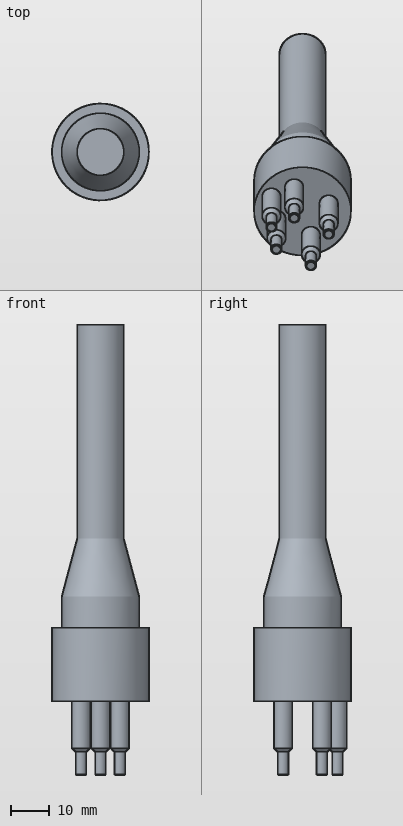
import cadquery as cq

shell_diameter = 25.0
shell_height = 19.0
collar_diameter = 20.0
collar_height = 8.0
cable_diameter = 12.0
taper_height = 15.0
cable_length = 55.0

sleeve_diameter = 4.8
sleeve_length = 13.0
contact_diameter = 2.8
sleeve_chamfer = (sleeve_diameter - contact_diameter) / 2
pin_length = 19.0
contact_chamfer = 0.3

pin_pitch = 10.0
index_pin_offset = 9.0


def make_body():
    """Shell, collar, tapered strain relief and cable as one revolved profile."""
    collar_bottom = shell_height
    taper_bottom = collar_bottom + collar_height
    cable_bottom = taper_bottom + taper_height
    cable_top = cable_bottom + cable_length
    return (
        cq.Workplane("XZ")
        .moveTo(0, 0)
        .lineTo(shell_diameter / 2, 0)
        .lineTo(shell_diameter / 2, collar_bottom)
        .lineTo(collar_diameter / 2, collar_bottom)
        .lineTo(collar_diameter / 2, taper_bottom)
        .lineTo(cable_diameter / 2, cable_bottom)
        .lineTo(cable_diameter / 2, cable_top)
        .lineTo(0, cable_top)
        .close()
        .revolve(360, (0, 0, 0), (0, 1, 0))
    )


def make_pin(x, y):
    """Insulating sleeve that tapers at 45 degrees to a thinner contact with a chamfered tip."""
    sleeve_radius = sleeve_diameter / 2
    contact_radius = contact_diameter / 2
    return (
        cq.Workplane("XZ")
        .moveTo(0, 0)
        .lineTo(sleeve_radius, 0)
        .lineTo(sleeve_radius, sleeve_chamfer - sleeve_length)
        .lineTo(contact_radius, -sleeve_length)
        .lineTo(contact_radius, contact_chamfer - pin_length)
        .lineTo(contact_radius - contact_chamfer, -pin_length)
        .lineTo(0, -pin_length)
        .close()
        .revolve(360, (0, 0, 0), (0, 1, 0))
        .translate((x, y, 0))
    )


half_pitch = pin_pitch / 2
pin_positions = [
    (-half_pitch, -half_pitch),
    (half_pitch, -half_pitch),
    (-half_pitch, half_pitch),
    (half_pitch, half_pitch),
    (0, index_pin_offset),
]

result = make_body()
for pin_x, pin_y in pin_positions:
    result = result.union(make_pin(pin_x, pin_y))